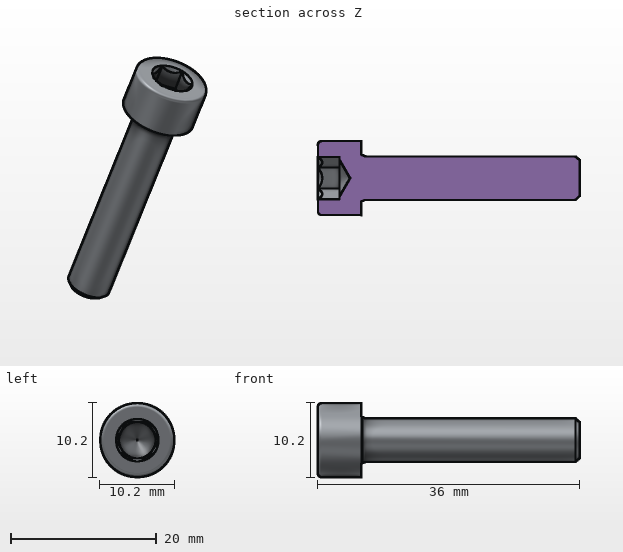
import cadquery as cq
import math

total_length = 36.0
head_length = 6.0
head_radius = 10.22 / 2
head_rounding = 0.58
shank_radius = 6.0 / 2
tip_chamfer_length = 0.6
tip_chamfer_drop = 0.55

neck_length = 0.6
neck_root_rounding = 0.15
neck_run_out = 0.1
neck_taper_large_radius = 3.15
neck_taper_small_radius = 3.02

socket_width = 5.0
socket_depth = 3.0
mouth_rim_radius = 2.9
mouth_angle = 33.0
bottom_slope = 30.0


def revolve_about_x(profile):
    return profile.close().revolve(360, (0, 0, 0), (1, 0, 0))


def make_body():
    neck_end = head_length + neck_length
    arc_factor = 1 - math.sqrt(0.5)
    profile = (
        cq.Workplane("XY")
        .lineTo(0, head_radius - head_rounding)
        .threePointArc(
            (head_rounding * arc_factor, head_radius - head_rounding * arc_factor),
            (head_rounding, head_radius),
        )
        .lineTo(head_length, head_radius)
        .lineTo(head_length, neck_taper_large_radius + neck_root_rounding)
        .radiusArc(
            (head_length + neck_root_rounding, neck_taper_large_radius), -neck_root_rounding
        )
        .lineTo(neck_end - neck_run_out, neck_taper_small_radius)
        .lineTo(neck_end, shank_radius)
        .lineTo(total_length - tip_chamfer_length, shank_radius)
        .lineTo(total_length, shank_radius - tip_chamfer_drop)
        .lineTo(total_length, 0)
    )
    return revolve_about_x(profile)


def make_socket():
    apothem = socket_width / 2
    corner_diameter = socket_width / math.cos(math.pi / 6)
    hexagon = cq.Workplane("YZ").polygon(6, corner_diameter).extrude(socket_depth)

    mouth_depth = mouth_rim_radius / math.tan(math.radians(mouth_angle))
    mouth = revolve_about_x(
        cq.Workplane("XY").lineTo(0, mouth_rim_radius).lineTo(mouth_depth, 0)
    )

    point_depth = apothem * math.tan(math.radians(bottom_slope))
    bottom = revolve_about_x(
        cq.Workplane("XY")
        .moveTo(socket_depth, 0)
        .lineTo(socket_depth, apothem)
        .lineTo(socket_depth + point_depth, 0)
    )
    return hexagon.union(bottom).union(mouth)


result = make_body().cut(make_socket())